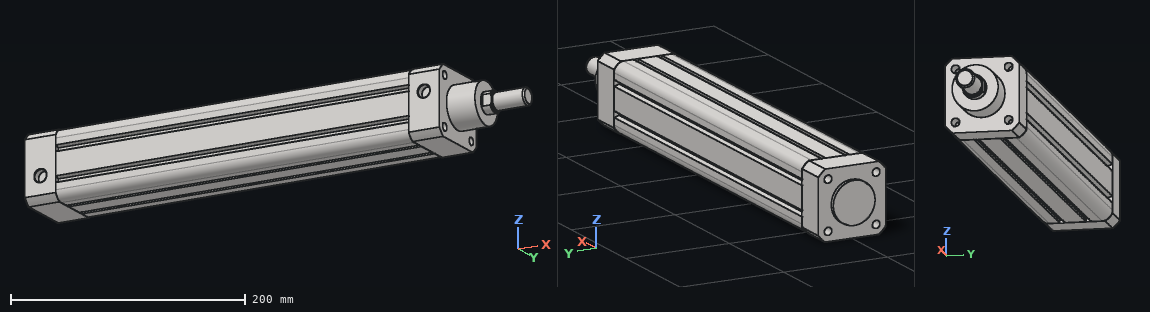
import cadquery as cq


total_length = 479.0
cap_side = 65.0
barrel_side = 64.5
spigot_diameter = 40.0

rear_spigot_length = 4.0
front_spigot_length = 28.0
cap_length = 30.0
cap_to_cap_length = 406.0
cap_corner_diameter = 83.5
port_diameter = 11.5
port_depth = 7.0
port_chamfer = 0.5
port_axis_offset = 8.5
port_to_barrel = 15.0
mount_hole_spacing = 46.5
mount_hole_diameter = 7.0
mount_hole_depth = 16.0

barrel_corner_radius = 9.0
flat_groove_offset = 11.5
flat_groove_width = 4.5
flat_groove_depth = 2.5
side_groove_inner_edge = 11.0
side_groove_outer_edge = 17.0
side_groove_wall_run = 1.5
side_groove_depth = 5.0

collar_diameter = 20.0
collar_length = 9.5
collar_chamfer = 1.0
flat_start = 1.5
across_flats = 17.2
thread_diameter = 16.5
thread_relief_depth = 1.0
thread_relief_length = 1.0
rod_tip_chamfer = 1.5

rear_cap_start = rear_spigot_length
rear_cap_end = rear_cap_start + cap_length
front_cap_end = rear_cap_start + cap_to_cap_length
front_cap_start = front_cap_end - cap_length
barrel_length = front_cap_start - rear_cap_end
rod_start = front_cap_end + front_spigot_length
rod_length = total_length - rod_start

barrel_half_side = barrel_side / 2


def cross_section(x):
    """Workplane across the axis at x, with local x along +Y and local y along +Z."""
    return cq.Workplane("YZ", origin=(x, 0, 0))


def make_port_cutter(x, z):
    """Blind hole with a chamfered rim, going into the -Y face of a cap."""
    radius = port_diameter / 2
    return (
        cq.Workplane("XY", origin=(x, -cap_side / 2, z))
        .lineTo(radius + port_chamfer, 0)
        .lineTo(radius, port_chamfer)
        .lineTo(radius, port_depth)
        .lineTo(0, port_depth)
        .close()
        .revolve(360, (0, 0, 0), (0, 1, 0))
    )


def make_cap(barrel_face, outward, spigot_length, port_z):
    """End cap reaching from the barrel towards +X (outward = 1) or -X (outward = -1)."""
    outer_face = barrel_face + outward * cap_length
    block = cross_section(barrel_face).rect(cap_side, cap_side).extrude(outward * cap_length)
    turned_corners = (
        cross_section(barrel_face).circle(cap_corner_diameter / 2).extrude(outward * cap_length)
    )
    spigot = cross_section(outer_face).circle(spigot_diameter / 2).extrude(outward * spigot_length)
    mount_holes = (
        cross_section(outer_face)
        .rect(mount_hole_spacing, mount_hole_spacing, forConstruction=True)
        .vertices()
        .circle(mount_hole_diameter / 2)
        .extrude(-outward * mount_hole_depth)
    )
    port = make_port_cutter(barrel_face + outward * port_to_barrel, port_z)
    return block.intersect(turned_corners).union(spigot).cut(mount_holes).cut(port)


def make_flat_groove(side, half):
    """Rectangular groove in the +Z (side = 1) or -Z (side = -1) face, on the +Y or -Y half of it."""
    return (
        cross_section(rear_cap_end)
        .center(half * flat_groove_offset, side * barrel_half_side)
        .rect(flat_groove_width, 2 * flat_groove_depth)
        .extrude(barrel_length)
    )


def make_side_groove(side, half):
    """Groove with sloping walls in the +Y or -Y face (side), above or below the axis (half)."""
    mouth_y = side * barrel_half_side
    floor_y = side * (barrel_half_side - side_groove_depth)
    return (
        cross_section(rear_cap_end)
        .moveTo(mouth_y, half * side_groove_inner_edge)
        .lineTo(floor_y, half * (side_groove_inner_edge + side_groove_wall_run))
        .lineTo(floor_y, half * (side_groove_outer_edge - side_groove_wall_run))
        .lineTo(mouth_y, half * side_groove_outer_edge)
        .close()
        .extrude(barrel_length)
    )


def make_barrel():
    """Square extrusion with rounded corners and two grooves along each face."""
    barrel = (
        cross_section(rear_cap_end)
        .rect(barrel_side, barrel_side)
        .extrude(barrel_length)
        .edges("|X")
        .fillet(barrel_corner_radius)
    )
    for side in (-1, 1):
        for half in (-1, 1):
            barrel = barrel.cut(make_flat_groove(side, half))
            barrel = barrel.cut(make_side_groove(side, half))
    return barrel


def make_rod():
    """Rod end: a chamfered collar with two wrench flats, a thread relief and a plain thread."""
    collar_radius = collar_diameter / 2
    thread_radius = thread_diameter / 2
    relief_radius = thread_radius - thread_relief_depth
    rod = (
        cq.Workplane("XY", origin=(rod_start, 0, 0))
        .lineTo(0, collar_radius)
        .lineTo(collar_length - collar_chamfer, collar_radius)
        .lineTo(collar_length, collar_radius - collar_chamfer)
        .lineTo(collar_length, relief_radius)
        .lineTo(collar_length + thread_relief_length, thread_radius)
        .lineTo(rod_length - rod_tip_chamfer, thread_radius)
        .lineTo(rod_length, thread_radius - rod_tip_chamfer)
        .lineTo(rod_length, 0)
        .close()
        .revolve(360, (0, 0, 0), (1, 0, 0))
    )
    flat_length = collar_length - flat_start
    flat_middle = rod_start + flat_start + flat_length / 2
    for side in (-1, 1):
        cutter_y = side * (across_flats + collar_diameter) / 2
        flat_cutter = (
            cq.Workplane("XY")
            .box(flat_length, collar_diameter, collar_diameter)
            .translate((flat_middle, cutter_y, 0))
        )
        rod = rod.cut(flat_cutter)
    return rod


rear_cap = make_cap(rear_cap_end, -1, rear_spigot_length, -port_axis_offset)
front_cap = make_cap(front_cap_start, 1, front_spigot_length, port_axis_offset)
barrel = make_barrel()
rod = make_rod()

result = cq.Compound.makeCompound([rear_cap.val(), barrel.val(), front_cap.val(), rod.val()])